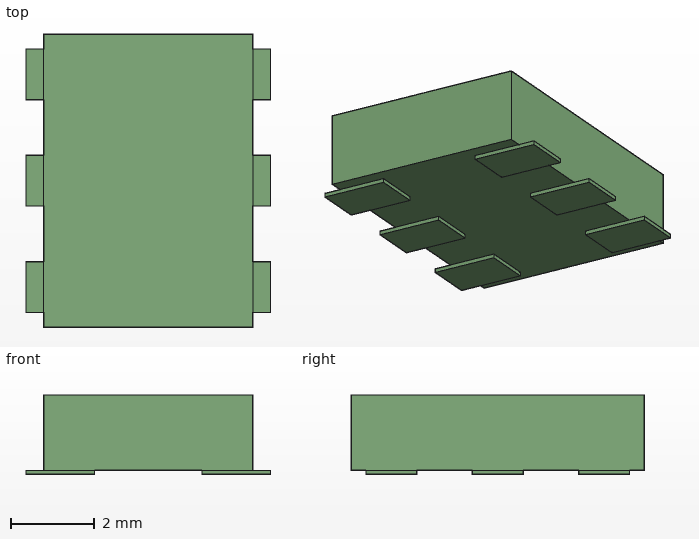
import cadquery as cq

housing_width = 5.0
housing_length = 7.0
overall_height = 1.9

terminal_span = 5.84
terminal_length = 1.64
terminal_width = 1.22
terminal_thickness = 0.1
terminal_pitch = 2.54

housing_height = overall_height - terminal_thickness
terminal_center_x = (terminal_span - terminal_length) / 2

ON_BASE = (True, True, False)


def make_housing():
    """Plain block resting on top of the terminals."""
    return (
        cq.Workplane("XY")
        .box(housing_width, housing_length, housing_height, centered=ON_BASE)
        .translate((0, 0, terminal_thickness))
    )


def make_terminal(x, y):
    """Flat strip centred at (x, y), with its underside at Z = 0."""
    return (
        cq.Workplane("XY")
        .box(terminal_length, terminal_width, terminal_thickness, centered=ON_BASE)
        .translate((x, y, 0))
    )


housing = make_housing()

terminals = []
for side in (-1, 1):
    for row in (-1, 0, 1):
        terminal = make_terminal(side * terminal_center_x, row * terminal_pitch)
        terminals.append(terminal.val())

result = cq.Compound.makeCompound([housing.val(), *terminals])